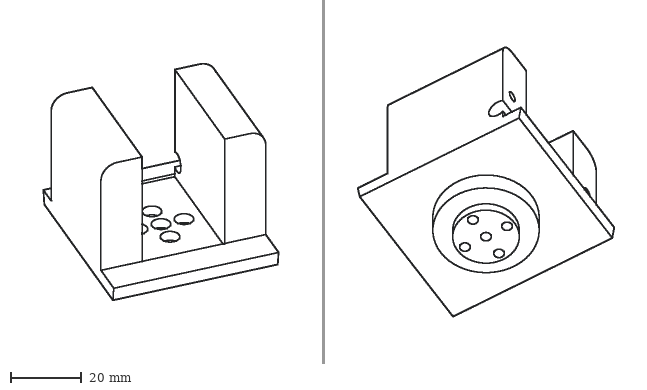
import cadquery as cq

base_length = 54.2
base_width = 50.0
base_thickness = 4.5
base_end_inset = 0.65

disc_diameter = 30.0
disc_height = 6.0
boss_diameter = 18.8
boss_height = 3.0

overall_height = 48.8
wall_height = overall_height - base_thickness - disc_height - boss_height
wall_length = 38.4
wall_gap = 25.05
wall_thickness = (base_width - wall_gap) / 2
wall_end_offset = 5.95
wall_corner_radius = 5.0
wall_start_x = -base_length / 2 + wall_end_offset

pin_diameter = 3.0
pin_depth = 10.0
pin_height = 14.8
pin_spacing = 40.0

groove_diameter = 6.0
groove_height = 4.8
groove_inset = 1.7

recess_depth = 1.0

screw_diameter = 3.0
counterbore_diameter = 5.5
counterbore_depth = 3.0
screw_pitch = 7.0



def make_base():
    top_x = base_length / 2
    bottom_x = top_x - base_end_inset
    corners = [(-top_x, 0), (top_x, 0), (bottom_x, -base_thickness), (-bottom_x, -base_thickness)]
    return cq.Workplane("XZ").polyline(corners).close().extrude(base_width / 2, both=True)


def make_spigot():
    underside = cq.Workplane("XY", origin=(0, 0, -base_thickness))
    disc = underside.circle(disc_diameter / 2).extrude(-disc_height)
    return disc.faces("<Z").workplane().circle(boss_diameter / 2).extrude(boss_height)


def make_wall(side):
    """Wall on the +Y (side = 1) or -Y (side = -1) edge, rounded along its outer top edge."""
    center_y = side * (wall_gap + wall_thickness) / 2
    wall = (
        cq.Workplane("XY")
        .box(wall_length, wall_thickness, wall_height, centered=(False, True, False))
        .translate((wall_start_x, center_y, 0))
    )
    outer_face = ">Y" if side > 0 else "<Y"
    wall = wall.faces(outer_face).edges(">Z").fillet(wall_corner_radius)
    pin_hole = (
        cq.Workplane("YZ", origin=(wall_start_x, side * pin_spacing / 2, pin_height))
        .circle(pin_diameter / 2)
        .extrude(pin_depth)
    )
    return wall.cut(pin_hole)


def make_groove():
    """Round groove along Y that breaks out through the wall end."""
    return (
        cq.Workplane("XZ", origin=(wall_start_x + groove_inset, base_width / 2, groove_height))
        .circle(groove_diameter / 2)
        .extrude(wall_thickness)
    )


def make_floor_recess():
    """Shallow pocket in the base that fills the space between the walls."""
    return (
        cq.Workplane("XY")
        .box(wall_length, wall_gap, recess_depth, centered=(False, True, False))
        .translate((wall_start_x, 0, -recess_depth))
    )


def drill_screw_holes(body):
    """Counterbored holes from the recess floor down through the spigot."""
    positions = [(0, 0), (screw_pitch, 0), (-screw_pitch, 0), (0, screw_pitch), (0, -screw_pitch)]
    centers = cq.Workplane("XY", origin=(0, 0, -recess_depth)).pushPoints(positions)
    through_holes = centers.circle(screw_diameter / 2).extrude(-overall_height)
    counterbores = centers.circle(counterbore_diameter / 2).extrude(-counterbore_depth)
    return body.cut(through_holes).cut(counterbores)


plate = make_base().union(make_spigot()).cut(make_floor_recess())
plate = drill_screw_holes(plate)
result = plate.union(make_wall(-1)).union(make_wall(1).cut(make_groove()))